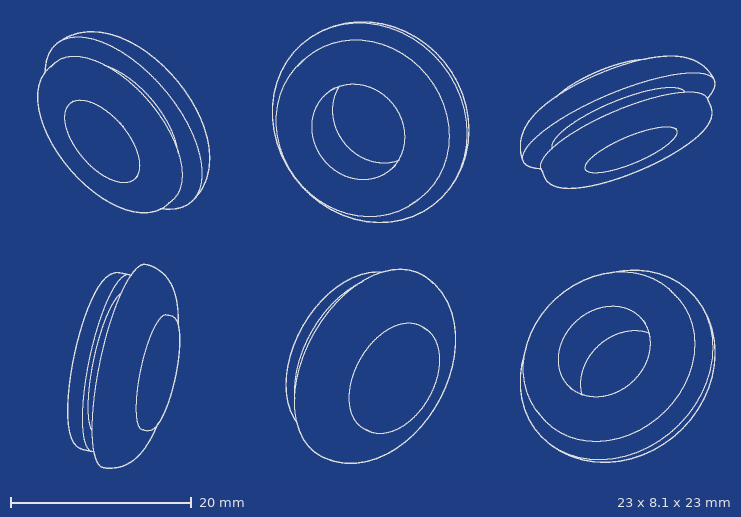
import cadquery as cq

front_flange_diameter = 20.0
front_flange_thickness = 2.0
front_flange_fillet = 1.0

groove_diameter = 16.0
groove_width = 1.6

rear_flange_diameter = 23.0
rear_flange_thickness = 3.5
rear_flange_fillet = rear_flange_thickness

cap_diameter = 13.0
cap_height = 1.0
cap_fillet = 0.5

bore_diameter = 11.0
floor_thickness = 1.5

groove_start = front_flange_thickness
rear_flange_start = groove_start + groove_width
cap_start = rear_flange_start + rear_flange_thickness
total_depth = cap_start + cap_height
bore_depth = total_depth - floor_thickness


def disc(diameter, start, thickness):
    """Round disc along +Y, beginning at the given Y position."""
    plane = cq.Plane(origin=(0, start, 0), xDir=(1, 0, 0), normal=(0, 1, 0))
    return cq.Workplane(plane).circle(diameter / 2).extrude(thickness)


def rounded_rear_flange():
    """Large flange whose rear edge is a quarter circle meeting a flat rear face."""
    outer_radius = rear_flange_diameter / 2
    flat_radius = outer_radius - rear_flange_fillet
    arc_reach = rear_flange_fillet * 0.5 ** 0.5
    arc_middle = (flat_radius + arc_reach, rear_flange_start + arc_reach)
    profile = (
        cq.Workplane("XY")
        .moveTo(0, rear_flange_start)
        .lineTo(outer_radius, rear_flange_start)
        .threePointArc(arc_middle, (flat_radius, cap_start))
        .lineTo(0, cap_start)
        .close()
    )
    return profile.revolve(360, (0, 0, 0), (0, 1, 0))


front_flange = disc(front_flange_diameter, 0, front_flange_thickness)
front_flange = front_flange.faces("<Y").edges().fillet(front_flange_fillet)

groove_core = disc(groove_diameter, groove_start, groove_width)

cap = disc(cap_diameter, cap_start, cap_height)
cap = cap.faces(">Y").edges().fillet(cap_fillet)

bore = disc(bore_diameter, 0, bore_depth)

body = front_flange.union(groove_core).union(rounded_rear_flange()).union(cap)
result = body.cut(bore)